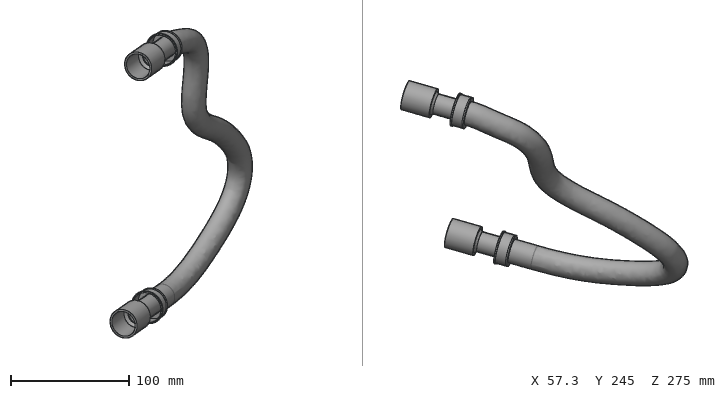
import cadquery as cq

HOSE_OD = 21.0
BORE = 16.8
LEAN = 0.12
STRAIGHT_LENGTH = 20.3
GUIDE_OFFSET = 82.5

NECK_OD = 18.0
SOCKET_OD = 25.5
SOCKET_ID = 22.0
SHOULDER_OD = 21.0
COLLAR_OD = 27.5
COLLAR_ID = 26.5
LIP_OD = 29.0
COLLAR_LENGTH = 11.5
COLLAR_FLOOR = 1.5
LIP_THICKNESS = 1.5
CONE_LENGTH = 2.2
SOCKET_LENGTH = 25.3
FITTING_LENGTH = 56.0

UPPER_X = 28.3
UPPER_Z = 246.0
UPPER_MOUTH_Y = -29.5
LOWER_HOSE_END = (0, FITTING_LENGTH, 0)
UPPER_HOSE_END = (UPPER_X, UPPER_MOUTH_Y + FITTING_LENGTH, UPPER_Z)

WAYPOINTS = [
    (117.7, 5.0),
    (157.5, 20.5),
    (184.0, 36.3),
    (200.7, 54.0),
    (205.0, 68.7),
    (198.5, 88.3),
    (182.0, 105.3),
    (142.7, 131.0),
    (110.3, 148.0),
    (96.2, 162.0),
    (90.7, 180.0),
    (89.5, 199.5),
    (85.8, 217.2),
    (74.8, 232.6),
    (51.1, 242.3),
]


def make_hose():
    """Round tube: a straight stretch, then a leaning S-shaped bend swept along a spline."""
    bend_start = (0, FITTING_LENGTH + STRAIGHT_LENGTH, 0)
    bend_points = [bend_start] + [(LEAN * z, y, z) for y, z in WAYPOINTS] + [UPPER_HOSE_END]
    centreline = cq.Workplane("XY").spline(
        bend_points, tangents=[(0, 1, 0), (0, -1, 0)], scale=False
    )
    guide = centreline.wire().translate((GUIDE_OFFSET, 0, -GUIDE_OFFSET * LEAN))
    section = cq.Workplane("XZ", origin=bend_start).circle(HOSE_OD / 2).circle(BORE / 2)
    bend = section.sweep(centreline, auxSpine=guide)
    straight = (
        cq.Workplane("XZ", origin=bend_start)
        .circle(HOSE_OD / 2)
        .circle(BORE / 2)
        .extrude(STRAIGHT_LENGTH)
    )
    return straight.union(bend)


def make_fitting(hose_end):
    """Turned fitting: open collar cup at the hose end, neck, cone and socket at the mouth."""
    cone_end = FITTING_LENGTH - SOCKET_LENGTH
    cone_start = cone_end - CONE_LENGTH
    lip_start = COLLAR_LENGTH - LIP_THICKNESS
    profile = [
        (BORE / 2, 0),
        (COLLAR_OD / 2, 0),
        (COLLAR_OD / 2, lip_start),
        (LIP_OD / 2, lip_start),
        (LIP_OD / 2, COLLAR_LENGTH),
        (COLLAR_ID / 2, COLLAR_LENGTH),
        (COLLAR_ID / 2, COLLAR_FLOOR),
        (NECK_OD / 2, COLLAR_FLOOR),
        (NECK_OD / 2, cone_start),
        (SHOULDER_OD / 2, cone_end),
        (SOCKET_OD / 2, cone_end),
        (SOCKET_OD / 2, FITTING_LENGTH),
        (SOCKET_ID / 2, FITTING_LENGTH),
        (SOCKET_ID / 2, cone_end + CONE_LENGTH),
        (BORE / 2, cone_end),
    ]
    turning_plane = cq.Plane(origin=hose_end, xDir=(1, 0, 0), normal=(0, 0, -1))
    return cq.Workplane(turning_plane).polyline(profile).close().revolve(360, (0, 0), (0, 1))


hose = make_hose()
fittings = [make_fitting(end) for end in (LOWER_HOSE_END, UPPER_HOSE_END)]

result = cq.Compound.makeCompound([hose.val(), *[fitting.val() for fitting in fittings]])